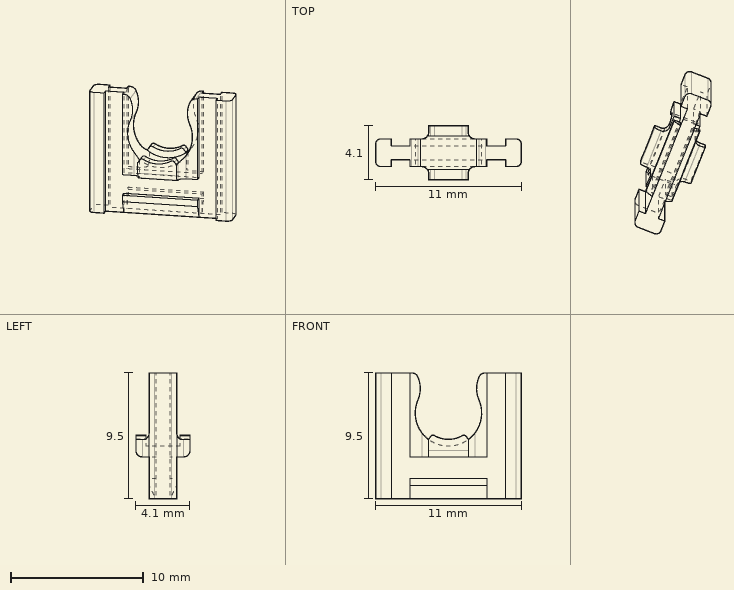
import cadquery as cq
import math

WIDTH = 11.0
DEPTH = 4.1
HEIGHT = 9.5

RAIL_WIDTH = 1.19
BODY_DEPTH = 2.1
RAIL_ROUND = 0.4
WEB_DEPTH = 1.06
PAD_WIDTH = 5.81
PAD_BOTTOM = 3.15

BAR_HEIGHT = 1.52
BAR_BEVEL_HEIGHT = 1.01

SEAT_RADIUS = 2.5
SEAT_Z = 6.47
THROAT_HALF_WIDTH = 2.11
NOSE_RADIUS = 2.12
MOUTH_HALF_WIDTH = 2.78

BLOCK_WIDTH = 2.99
BLOCK_ROUND = 0.51
LIP_THICKNESS = 0.78
LIP_SADDLE_RADIUS = 2.11
LIP_SADDLE_Z = 4.49
LIP_SADDLE_HALF_WIDTH = 1.03
LIP_CREST_X = 1.17
LIP_CREST_Z = 4.81
LIP_SHOULDER_X = 1.34
LIP_SHOULDER_Z = 4.71


def centered_box(width, depth, bottom, top):
    """Box centered on X and Y between two heights."""
    return (
        cq.Workplane("XY", origin=(0, 0, bottom))
        .box(width, depth, top - bottom, centered=(True, True, False))
    )


def extrude_along_y(profile, depth, center_y=0):
    """Extrude an XZ profile equally to both sides of center_y."""
    return profile.extrude(depth / 2, both=True).translate((0, center_y, 0))


def rail(side):
    center_x = side * (WIDTH - RAIL_WIDTH) / 2
    outer_edges = "|Z and >X" if side > 0 else "|Z and <X"
    return (
        centered_box(RAIL_WIDTH, BODY_DEPTH, 0, HEIGHT)
        .edges(outer_edges)
        .fillet(RAIL_ROUND)
        .translate((center_x, 0, 0))
    )


def foot_bar():
    half_web = WEB_DEPTH / 2
    half_body = BODY_DEPTH / 2
    return (
        cq.Workplane("YZ")
        .moveTo(-half_web, 0)
        .lineTo(half_web, 0)
        .lineTo(half_body, BAR_BEVEL_HEIGHT)
        .lineTo(half_body, BAR_HEIGHT)
        .lineTo(-half_body, BAR_HEIGHT)
        .lineTo(-half_body, BAR_BEVEL_HEIGHT)
        .close()
        .extrude(PAD_WIDTH / 2, both=True)
    )


def central_block():
    """Block through the pad, rounded underneath and flared into the pad faces."""
    block = centered_box(BLOCK_WIDTH, DEPTH, PAD_BOTTOM, SEAT_Z)
    block = block.edges("|X and <Z").fillet(BLOCK_ROUND)
    half_block = BLOCK_WIDTH / 2
    half_body = BODY_DEPTH / 2
    for side_x in (-1, 1):
        for side_y in (-1, 1):
            corner = (side_x * half_block, side_y * half_body)
            center_x = side_x * (half_block + BLOCK_ROUND)
            center_y = side_y * (half_body + BLOCK_ROUND)
            midpoint = (
                center_x - side_x * BLOCK_ROUND * math.sqrt(0.5),
                center_y - side_y * BLOCK_ROUND * math.sqrt(0.5),
            )
            flare = (
                cq.Workplane("XY", origin=(0, 0, PAD_BOTTOM))
                .moveTo(*corner)
                .lineTo(center_x, corner[1])
                .threePointArc(midpoint, (corner[0], center_y))
                .close()
                .extrude(SEAT_Z - PAD_BOTTOM)
            )
            block = block.union(flare)
    return block


def opening():
    """Snap-in opening whose seat, nose and mouth arcs meet tangentially."""
    nose_x = THROAT_HALF_WIDTH + NOSE_RADIUS
    center_distance = SEAT_RADIUS + NOSE_RADIUS
    nose_z = SEAT_Z + math.sqrt(center_distance**2 - nose_x**2)

    seat_share = SEAT_RADIUS / center_distance
    neck_x = nose_x * seat_share
    neck_z = SEAT_Z + (nose_z - SEAT_Z) * seat_share

    offset_x = nose_x - MOUTH_HALF_WIDTH
    rise = HEIGHT - nose_z
    mouth_radius = (NOSE_RADIUS**2 - offset_x**2 - rise**2) / (2 * (NOSE_RADIUS - rise))
    mouth_z = HEIGHT - mouth_radius
    angle = math.atan2(mouth_z - nose_z, offset_x)
    join_x = nose_x - NOSE_RADIUS * math.cos(angle)
    join_z = nose_z + NOSE_RADIUS * math.sin(angle)
    mid_angle = (angle + math.pi / 2) / 2
    mouth_mid_x = MOUTH_HALF_WIDTH - mouth_radius * math.cos(mid_angle)
    mouth_mid_z = mouth_z + mouth_radius * math.sin(mid_angle)

    profile = (
        cq.Workplane("XZ")
        .moveTo(-MOUTH_HALF_WIDTH, HEIGHT)
        .threePointArc((-mouth_mid_x, mouth_mid_z), (-join_x, join_z))
        .threePointArc((-THROAT_HALF_WIDTH, nose_z), (-neck_x, neck_z))
        .threePointArc((0, SEAT_Z - SEAT_RADIUS), (neck_x, neck_z))
        .threePointArc((THROAT_HALF_WIDTH, nose_z), (join_x, join_z))
        .threePointArc((mouth_mid_x, mouth_mid_z), (MOUTH_HALF_WIDTH, HEIGHT))
        .close()
    )
    return extrude_along_y(profile, DEPTH)


def lip(side):
    """Saddle-topped lip standing above the seat at one end of the block."""
    half_block = BLOCK_WIDTH / 2
    base_z = PAD_BOTTOM + BLOCK_ROUND
    saddle_end_z = (
        LIP_SADDLE_Z + LIP_SADDLE_RADIUS
        - math.sqrt(LIP_SADDLE_RADIUS**2 - LIP_SADDLE_HALF_WIDTH**2)
    )
    profile = (
        cq.Workplane("XZ")
        .moveTo(-half_block, base_z)
        .lineTo(-half_block, LIP_SADDLE_Z)
        .lineTo(-LIP_SHOULDER_X, LIP_SHOULDER_Z)
        .threePointArc((-LIP_CREST_X, LIP_CREST_Z), (-LIP_SADDLE_HALF_WIDTH, saddle_end_z))
        .threePointArc((0, LIP_SADDLE_Z), (LIP_SADDLE_HALF_WIDTH, saddle_end_z))
        .threePointArc((LIP_CREST_X, LIP_CREST_Z), (LIP_SHOULDER_X, LIP_SHOULDER_Z))
        .lineTo(half_block, LIP_SADDLE_Z)
        .lineTo(half_block, base_z)
        .close()
    )
    return extrude_along_y(profile, LIP_THICKNESS, side * (DEPTH - LIP_THICKNESS) / 2)


web = centered_box(WIDTH - 2 * RAIL_WIDTH, WEB_DEPTH, 0, HEIGHT)
pad = centered_box(PAD_WIDTH, BODY_DEPTH, PAD_BOTTOM, HEIGHT)

result = web.union(pad).union(foot_bar()).union(central_block())
result = result.cut(opening())
for direction in (-1, 1):
    result = result.union(rail(direction)).union(lip(direction))